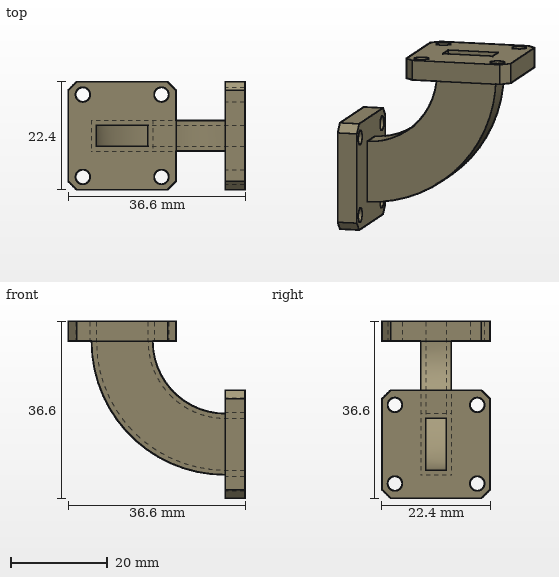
import cadquery as cq

overall = 36.58
flange_side = 22.35
flange_thickness = 4.15
corner_chamfer = 1.8
hole_diameter = 2.95
hole_pitch_in_bend = 16.25
hole_pitch_across = 17.0
tube_height, tube_width = 12.7, 6.35
bore_height, bore_width = 10.68, 4.28

flange_center = flange_side / 2
inner_face = overall - flange_thickness
bend_radius = inner_face - flange_center


def flange():
    """Square flange with cut corners and four bolt holes, lying in XY from Z = 0 up."""
    return (
        cq.Workplane("XY")
        .rect(flange_side, flange_side)
        .extrude(flange_thickness)
        .edges("|Z")
        .chamfer(corner_chamfer)
        .faces(">Z")
        .workplane()
        .rect(hole_pitch_in_bend, hole_pitch_across, forConstruction=True)
        .vertices()
        .hole(hole_diameter)
    )


def bend(height, width):
    """Quarter-circle bar of rectangular section joining the two flange inner faces."""
    return (
        cq.Workplane("XY", origin=(flange_center, 0, inner_face))
        .rect(height, width)
        .revolve(90, (bend_radius, 0, 0), (bend_radius, -1, 0))
    )


def straight_bore(through):
    """Rectangular opening along Z, starting at Z = 0."""
    return cq.Workplane("XY").rect(bore_height, bore_width).extrude(through)


def place_on_top(body):
    return body.translate((flange_center, 0, inner_face))


def place_on_side(body):
    return body.rotate((0, 0, 0), (0, 1, 0), 90).translate((inner_face, 0, flange_center))


body = (
    place_on_top(flange())
    .union(place_on_side(flange()))
    .union(bend(tube_height, tube_width))
)
flange_bore = straight_bore(flange_thickness)
result = (
    body.cut(bend(bore_height, bore_width))
    .cut(place_on_top(flange_bore))
    .cut(place_on_side(flange_bore))
)